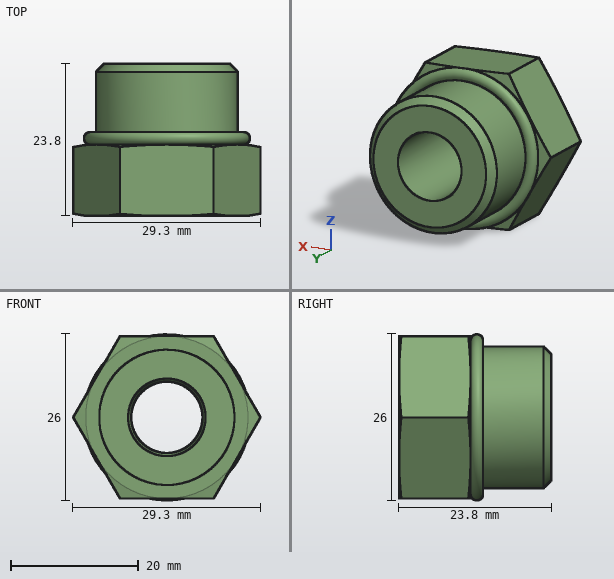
import cadquery as cq
import math

total_length = 23.82
hex_corners = 29.33
hex_length = 11.15
hex_chamfer_depth = 0.35
recess_diameter = 21.18
recess_depth = 0.2
shank_diameter = 22.23
shank_chamfer = 1.25
ring_outer_diameter = 26.02
ring_thickness = 2.0
bore_diameter = 11.12
bore_mouth_diameter = 12.15
bore_taper_end = 2.5

hex_flats = hex_corners * math.cos(math.pi / 6)


def revolve_about_y(profile):
    """Turn a closed (radius, Y) profile around the fitting axis."""
    return profile.close().revolve(360, (0, 0, 0), (0, 1, 0))


def make_hex():
    """Hexagon with corners on X, chamfered conically at both ends."""
    prism = cq.Workplane("XZ").polygon(6, hex_corners).extrude(-hex_length)
    corner_radius = hex_corners / 2
    face_radius = hex_flats / 2
    envelope = revolve_about_y(
        cq.Workplane("XY").polyline([
            (0, 0),
            (face_radius, 0),
            (corner_radius, hex_chamfer_depth),
            (corner_radius, hex_length - hex_chamfer_depth),
            (face_radius, hex_length),
            (0, hex_length),
        ])
    )
    return prism.intersect(envelope)


def make_shank():
    """Plain cylinder with a chamfered free end, starting at the hex."""
    radius = shank_diameter / 2
    return revolve_about_y(
        cq.Workplane("XY").polyline([
            (0, hex_length),
            (radius, hex_length),
            (radius, total_length - shank_chamfer),
            (radius - shank_chamfer, total_length),
            (0, total_length),
        ])
    )


def make_ring():
    """Sealing ring seated against the back of the hex."""
    section_radius = ring_thickness / 2
    center_radius = ring_outer_diameter / 2 - section_radius
    return (
        cq.Workplane("XY")
        .center(center_radius, hex_length + section_radius)
        .transformed(rotate=(0, 0, 180))
        .circle(section_radius)
        .revolve(360, (center_radius, 0, 0), (center_radius, 1, 0))
    )


def make_recess():
    """Shallow round recess in the hex face."""
    return cq.Workplane("XZ").circle(recess_diameter / 2).extrude(-recess_depth)


def make_bore():
    """Through bore that widens conically to its mouth at the recess floor."""
    bore_radius = bore_diameter / 2
    mouth_radius = bore_mouth_diameter / 2
    return revolve_about_y(
        cq.Workplane("XY").polyline([
            (0, recess_depth),
            (mouth_radius, recess_depth),
            (bore_radius, bore_taper_end),
            (bore_radius, total_length),
            (0, total_length),
        ])
    )


body = make_hex().union(make_shank()).union(make_ring())
result = body.cut(make_recess()).cut(make_bore())